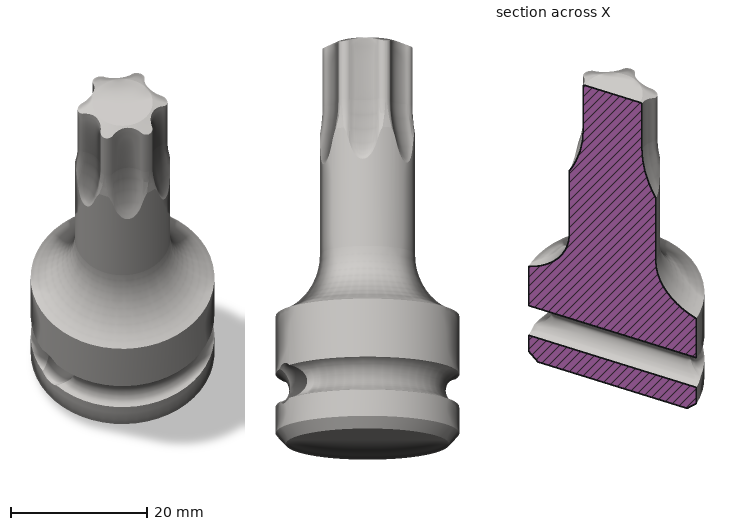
import cadquery as cq
import math

TOTAL_HEIGHT = 60.0
BODY_RADIUS = 13.5
SHANK_RADIUS = 7.0

BASE_CHAMFER_WIDTH = 1.5
BASE_CHAMFER_HEIGHT = 1.6
SHOULDER_Z = 19.15
FLARE_RADIUS = 9.7

GROOVE_Z = 8.0
GROOVE_RADIUS = 2.5
GROOVE_DEPTH = 2.0
PIN_HOLE_DIAMETER = 6.0

LOBE_COUNT = 6
TIP_RADIUS = 6.625
VALLEY_RADIUS = 4.75
LOBE_ROUND_RADIUS = 1.03
LOBE_TRIM = 0.006
STRAIGHT_FLUTE_LENGTH = 9.45
TAPER_RADIUS = 25.5
RUNOUT_RADIUS = 20.0
END_FACE_RADIUS = 4.43
END_BEVEL_ANGLE = 20.0

CUT_CLEARANCE = 1.0
EXTRA_SWING_ANGLE = 5.0

FLUTE_START_Z = TOTAL_HEIGHT - STRAIGHT_FLUTE_LENGTH
HALF_PITCH = math.pi / LOBE_COUNT
PITCH_DEGREES = 360.0 / LOBE_COUNT
LOBE_APEX_RADIUS = TIP_RADIUS + LOBE_TRIM
LOBE_CENTER_RADIUS = LOBE_APEX_RADIUS - LOBE_ROUND_RADIUS


def flute_round_radius():
    """Radius of the flute arc that touches both neighbouring lobe arcs."""
    cosine = math.cos(HALF_PITCH)
    constant = (
        VALLEY_RADIUS**2
        + LOBE_CENTER_RADIUS**2
        - 2 * VALLEY_RADIUS * LOBE_CENTER_RADIUS * cosine
        - LOBE_ROUND_RADIUS**2
    )
    slope = 2 * (LOBE_ROUND_RADIUS - VALLEY_RADIUS + LOBE_CENTER_RADIUS * cosine)
    return constant / slope


FLUTE_ROUND_RADIUS = flute_round_radius()


def polar(radius, angle):
    return (radius * math.cos(angle), radius * math.sin(angle))


def mirror(point):
    """Reflect a point across the X axis."""
    return (point[0], -point[1])


def toward(start, target, distance):
    """Point at a given distance from start along the line to target."""
    fraction = distance / math.dist(start, target)
    return (
        start[0] + fraction * (target[0] - start[0]),
        start[1] + fraction * (target[1] - start[1]),
    )


def draw_flute_section():
    """Flute section around the +X axis, reaching from one lobe apex to the next."""
    flute_center = (VALLEY_RADIUS + FLUTE_ROUND_RADIUS, 0)
    lobe_center = polar(LOBE_CENTER_RADIUS, HALF_PITCH)
    apex = polar(LOBE_APEX_RADIUS, HALF_PITCH)
    tangent_point = toward(flute_center, lobe_center, FLUTE_ROUND_RADIUS)
    chord_middle = ((apex[0] + tangent_point[0]) / 2, (apex[1] + tangent_point[1]) / 2)
    lobe_middle = toward(lobe_center, chord_middle, LOBE_ROUND_RADIUS)
    outer_r = SHANK_RADIUS + CUT_CLEARANCE

    return (
        cq.Workplane("XY", origin=(0, 0, FLUTE_START_Z))
        .moveTo(*mirror(apex))
        .threePointArc(mirror(lobe_middle), mirror(tangent_point))
        .threePointArc((VALLEY_RADIUS, 0), tangent_point)
        .threePointArc(lobe_middle, apex)
        .lineTo(outer_r, apex[1])
        .lineTo(outer_r, -apex[1])
        .close()
    )


def make_turned_blank():
    """Body, flared shoulder, shank, concave taper and bevelled tip before any cuts."""
    flare_angle = math.acos(1 - (BODY_RADIUS - SHANK_RADIUS) / FLARE_RADIUS)
    flare_top_z = SHOULDER_Z + FLARE_RADIUS * math.sin(flare_angle)
    flare_center_r = SHANK_RADIUS + FLARE_RADIUS
    flare_middle = (
        flare_center_r - FLARE_RADIUS * math.cos(flare_angle / 2),
        flare_top_z - FLARE_RADIUS * math.sin(flare_angle / 2),
    )
    bevel_height = (TIP_RADIUS - END_FACE_RADIUS) * math.tan(math.radians(END_BEVEL_ANGLE))
    taper_angle = math.acos(1 - (SHANK_RADIUS - TIP_RADIUS) / TAPER_RADIUS)
    taper_base_z = FLUTE_START_Z - TAPER_RADIUS * math.sin(taper_angle)
    taper_middle = (
        TIP_RADIUS + TAPER_RADIUS * (1 - math.cos(taper_angle / 2)),
        FLUTE_START_Z - TAPER_RADIUS * math.sin(taper_angle / 2),
    )
    return (
        cq.Workplane("XZ")
        .moveTo(0, 0)
        .lineTo(BODY_RADIUS - BASE_CHAMFER_WIDTH, 0)
        .lineTo(BODY_RADIUS, BASE_CHAMFER_HEIGHT)
        .lineTo(BODY_RADIUS, SHOULDER_Z)
        .threePointArc(flare_middle, (SHANK_RADIUS, flare_top_z))
        .lineTo(SHANK_RADIUS, taper_base_z)
        .threePointArc(taper_middle, (TIP_RADIUS, FLUTE_START_Z))
        .lineTo(TIP_RADIUS, TOTAL_HEIGHT - bevel_height)
        .lineTo(END_FACE_RADIUS, TOTAL_HEIGHT)
        .lineTo(0, TOTAL_HEIGHT)
        .close()
        .revolve(360, (0, 0, 0), (0, 1, 0))
    )


def make_ring_groove():
    center_r = BODY_RADIUS - GROOVE_DEPTH + GROOVE_RADIUS
    return (
        cq.Workplane("XZ")
        .center(center_r, GROOVE_Z)
        .circle(GROOVE_RADIUS)
        .revolve(360, (-center_r, 0, 0), (-center_r, 1, 0))
    )


def make_pin_hole():
    return (
        cq.Workplane("XZ")
        .center(0, GROOVE_Z)
        .circle(PIN_HOLE_DIAMETER / 2)
        .extrude(BODY_RADIUS, both=True)
    )


def make_flute_cutter():
    """Straight flute that swings outward at its lower end until it leaves the shank."""
    axis_r = VALLEY_RADIUS + RUNOUT_RADIUS
    swing_angle = math.degrees(math.acos(1 - (SHANK_RADIUS - VALLEY_RADIUS) / RUNOUT_RADIUS))
    straight = draw_flute_section().extrude(STRAIGHT_FLUTE_LENGTH)
    runout = draw_flute_section().revolve(
        swing_angle + EXTRA_SWING_ANGLE, (axis_r, 0, 0), (axis_r, -1, 0)
    )
    return straight.union(runout)


result = make_turned_blank().cut(make_ring_groove()).cut(make_pin_hole())
flute_cutter = make_flute_cutter()
for flute_index in range(LOBE_COUNT):
    flute_angle = (flute_index + 0.5) * PITCH_DEGREES
    result = result.cut(flute_cutter.rotate((0, 0, 0), (0, 0, 1), flute_angle))